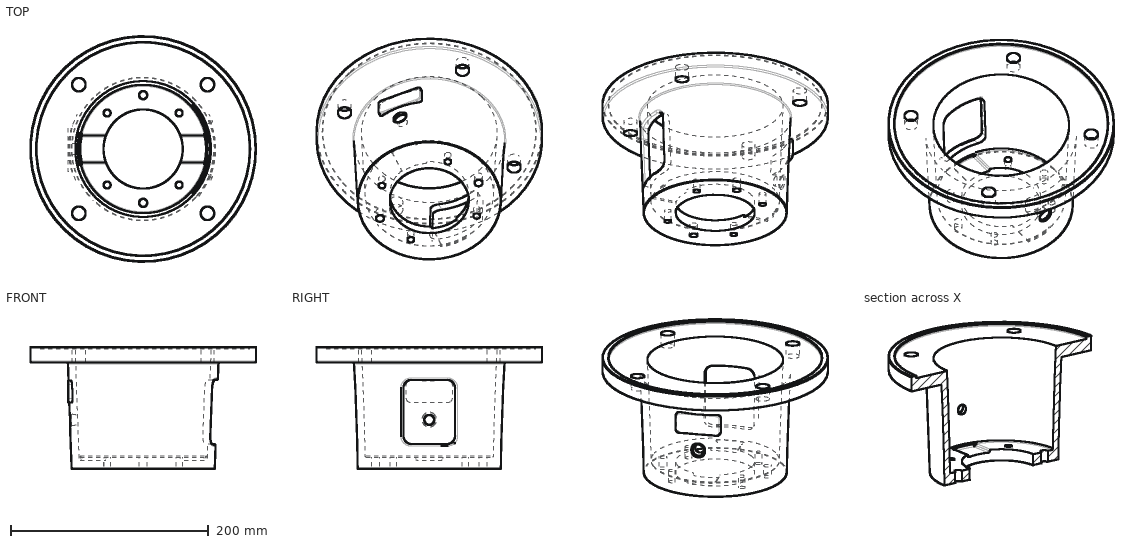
import cadquery as cq
import math

TOTAL_HEIGHT = 123.89
DRAFT = math.tan(math.radians(2))

FLANGE_RADIUS = 228.6 / 2
FLANGE_THICKNESS = 16.0
FLANGE_BOTTOM_FILLET = 1.5
FLANGE_TOP_CHAMFER = 0.6
PILOT_RADIUS = 215.9 / 2
PILOT_DEPTH = 2.4
PILOT_FILLET = 0.7
PILOT_LIP_CHAMFER = 0.5
FLANGE_BOTTOM_Z = TOTAL_HEIGHT - FLANGE_THICKNESS
PILOT_FLOOR_Z = TOTAL_HEIGHT - PILOT_DEPTH

TUBE_BOTTOM_RADIUS = 72.6
TUBE_TOP_RADIUS = TUBE_BOTTOM_RADIUS + FLANGE_BOTTOM_Z * DRAFT
TUBE_ROOT_FILLET = 1.2
TUBE_BOTTOM_CHAMFER = 0.5
FLOOR_THICKNESS = 12.0
BORE_TOP_RADIUS = 68.8
BORE_FLOOR_RADIUS = BORE_TOP_RADIUS - (PILOT_FLOOR_Z - FLOOR_THICKNESS) * DRAFT
FLOOR_FILLET = 1.5

FLANGE_BOLT_CIRCLE = 184.15
FLANGE_HOLE_DIAMETER = 13.5
CENTRE_HOLE_DIAMETER = 80.0
FOUR_BOLT_CIRCLE = 103.0
FOUR_BOLT_DIAMETER = 6.8
TWO_BOLT_CIRCLE = 109.0
TWO_BOLT_DIAMETER = 8.0

CHANNEL_WIDTH = 27.2
CHANNEL_DEPTH = 3.0
CHANNEL_FILLET = 1.5
CHANNEL_LIP_RADIUS = 1.4

WINDOW_BOTTOM_Z = 25.5
WINDOW_TOP_Z = 90.4
WINDOW_WIDTH = 52.0
WINDOW_CORNER_RADIUS = 8.0
WINDOW_EDGE_FILLET = 2.0

PLATE_FACE_X = -76.0
PLATE_BOTTOM_Z = 67.7
PLATE_TOP_Z = 89.6
PLATE_WIDTH = 46.6
PLATE_CORNER_RADIUS = 4.0
PLATE_EDGE_FILLET = 1.0
PLATE_ROOT_X = -70.0

SIDE_HOLE_Z = 49.9
SIDE_HOLE_INNER_DIAMETER = 9.8
SIDE_HOLE_OUTER_DIAMETER = 12.0
SIDE_HOLE_MOUTH_DIAMETER = 15.2


def bore_radius(z):
    return BORE_FLOOR_RADIUS + (z - FLOOR_THICKNESS) * DRAFT


def tube_radius(z):
    return TUBE_BOTTOM_RADIUS + z * DRAFT


def disc_stack(*profile):
    """Solid of revolution about Z from (radius, z) points, closed along the axis."""
    bottom_z = profile[0][1]
    top_z = profile[-1][1]
    outline = cq.Workplane("XZ").polyline([(0, bottom_z), *profile, (0, top_z)]).close()
    return outline.revolve(360, (0, 0), (0, 1))


def circle_edges(body, radius, z):
    """Circular edges of the body with the given radius, centred on Z at height z."""
    margin = 0.01
    box = cq.selectors.BoxSelector(
        (-radius - margin, -radius - margin, z - margin),
        (radius + margin, radius + margin, z + margin),
        boundingbox=True,
    )
    edges = body.edges(box)
    return edges.filter(lambda edge: edge.geomType() == "CIRCLE" and abs(edge.radius() - radius) < margin)


def rounded_block(x_start, x_end, width, bottom_z, top_z, corner_radius):
    """Block centred on Y = 0, with its four X-parallel edges rounded."""
    block = cq.Workplane("XY").box(x_end - x_start, width, top_z - bottom_z, centered=(False, True, False))
    return block.translate((x_start, 0, bottom_z)).edges("|X").fillet(corner_radius)


def make_shell():
    body = disc_stack(
        (TUBE_BOTTOM_RADIUS, 0),
        (TUBE_TOP_RADIUS, FLANGE_BOTTOM_Z),
        (FLANGE_RADIUS, FLANGE_BOTTOM_Z),
        (FLANGE_RADIUS, TOTAL_HEIGHT),
    )
    body = circle_edges(body, TUBE_BOTTOM_RADIUS, 0).chamfer(TUBE_BOTTOM_CHAMFER)
    body = circle_edges(body, TUBE_TOP_RADIUS, FLANGE_BOTTOM_Z).fillet(TUBE_ROOT_FILLET)
    body = circle_edges(body, FLANGE_RADIUS, FLANGE_BOTTOM_Z).fillet(FLANGE_BOTTOM_FILLET)
    return circle_edges(body, FLANGE_RADIUS, TOTAL_HEIGHT).chamfer(FLANGE_TOP_CHAMFER)


def make_pilot_recess():
    recess = disc_stack(
        (PILOT_RADIUS, PILOT_FLOOR_Z),
        (PILOT_RADIUS, TOTAL_HEIGHT - PILOT_LIP_CHAMFER),
        (PILOT_RADIUS + PILOT_LIP_CHAMFER, TOTAL_HEIGHT),
    )
    return recess.faces("<Z").edges().fillet(PILOT_FILLET)


def make_bore():
    """Drafted bore, deepened by the floor channel, with all lower corners rounded."""
    bore = disc_stack((BORE_FLOOR_RADIUS, FLOOR_THICKNESS), (BORE_TOP_RADIUS, PILOT_FLOOR_Z))
    channel_z = FLOOR_THICKNESS - CHANNEL_DEPTH
    channel = disc_stack((bore_radius(channel_z), channel_z), (BORE_FLOOR_RADIUS, FLOOR_THICKNESS))
    strip = cq.Workplane("XY").box(2 * FLANGE_RADIUS, CHANNEL_WIDTH, TOTAL_HEIGHT, centered=(True, True, False))
    channel = channel.intersect(strip)
    channel = channel.faces("<Z").edges().fillet(CHANNEL_FILLET)
    bore = bore.faces("<Z").edges().fillet(FLOOR_FILLET)
    return bore.union(channel).union(make_channel_lips())


def make_channel_lips():
    """Cutter that rounds over the two straight upper edges of the channel."""
    edge_y = CHANNEL_WIDTH / 2
    lip_end_y = edge_y + CHANNEL_LIP_RADIUS
    length = 2 * math.sqrt((BORE_FLOOR_RADIUS - FLOOR_FILLET) ** 2 - lip_end_y**2)
    lip = (
        cq.Workplane("YZ")
        .moveTo(edge_y, FLOOR_THICKNESS - CHANNEL_LIP_RADIUS)
        .radiusArc((lip_end_y, FLOOR_THICKNESS), CHANNEL_LIP_RADIUS)
        .lineTo(edge_y, FLOOR_THICKNESS)
        .close()
        .extrude(length / 2, both=True)
    )
    return lip.union(lip.mirror("XZ"))


def make_holes(diameter, points):
    return cq.Workplane("XY").pushPoints(points).circle(diameter / 2).extrude(TOTAL_HEIGHT)


def diagonal_points(bolt_circle):
    offset = bolt_circle / 2 * math.sqrt(0.5)
    return [(x, y) for x in (-offset, offset) for y in (-offset, offset)]


def make_axial_holes():
    holes = make_holes(FLANGE_HOLE_DIAMETER, diagonal_points(FLANGE_BOLT_CIRCLE))
    holes = holes.add(make_holes(FOUR_BOLT_DIAMETER, diagonal_points(FOUR_BOLT_CIRCLE)))
    two_bolt_points = [(0, -TWO_BOLT_CIRCLE / 2), (0, TWO_BOLT_CIRCLE / 2)]
    holes = holes.add(make_holes(TWO_BOLT_DIAMETER, two_bolt_points))
    return holes.add(make_holes(CENTRE_HOLE_DIAMETER, [(0, 0)])).combine()


def make_window():
    return rounded_block(0, FLANGE_RADIUS, WINDOW_WIDTH, WINDOW_BOTTOM_Z, WINDOW_TOP_Z, WINDOW_CORNER_RADIUS)


def make_plate():
    plate = rounded_block(
        PLATE_FACE_X, PLATE_ROOT_X, PLATE_WIDTH, PLATE_BOTTOM_Z, PLATE_TOP_Z, PLATE_CORNER_RADIUS
    )
    return plate.faces("<X").edges().fillet(PLATE_EDGE_FILLET)


def make_side_hole():
    """Tapered radial hole along -X, opening out at 45 degrees to its mouth on the tube surface."""
    mouth_x = tube_radius(SIDE_HOLE_Z)
    inner_x = bore_radius(SIDE_HOLE_Z)
    inner_radius = SIDE_HOLE_INNER_DIAMETER / 2
    outer_radius = SIDE_HOLE_OUTER_DIAMETER / 2
    chamfer = SIDE_HOLE_MOUTH_DIAMETER / 2 - outer_radius
    outline = cq.Workplane("XY").polyline([
        (0, 0),
        (0, inner_radius),
        (-inner_x, inner_radius),
        (chamfer - mouth_x, outer_radius),
        (-chamfer - mouth_x, outer_radius + 2 * chamfer),
        (-chamfer - mouth_x, 0),
    ]).close()
    return outline.revolve(360, (0, 0), (1, 0)).translate((0, 0, SIDE_HOLE_Z))


def window_outer_edges(body):
    """Edges where the window meets the outside of the tube."""
    mid_wall = (tube_radius(WINDOW_BOTTOM_Z) + bore_radius(WINDOW_TOP_Z)) / 2
    margin = 0.5
    box = cq.selectors.BoxSelector(
        (0, -WINDOW_WIDTH / 2 - margin, WINDOW_BOTTOM_Z - margin),
        (FLANGE_RADIUS, WINDOW_WIDTH / 2 + margin, WINDOW_TOP_Z + margin),
    )

    def is_outside(edge):
        point = edge.positionAt(0.5)
        return math.hypot(point.x, point.y) > mid_wall

    def joins_outer_ends(edge):
        ends = [edge.startPoint(), edge.endPoint()]
        return all(math.hypot(end.x, end.y) > mid_wall for end in ends)

    return body.edges(box).filter(is_outside).filter(joins_outer_ends)


shell = make_shell().union(make_plate())
shell = shell.cut(make_pilot_recess()).cut(make_bore()).cut(make_window())
shell = window_outer_edges(shell).fillet(WINDOW_EDGE_FILLET)
result = shell.cut(make_axial_holes()).cut(make_side_hole())